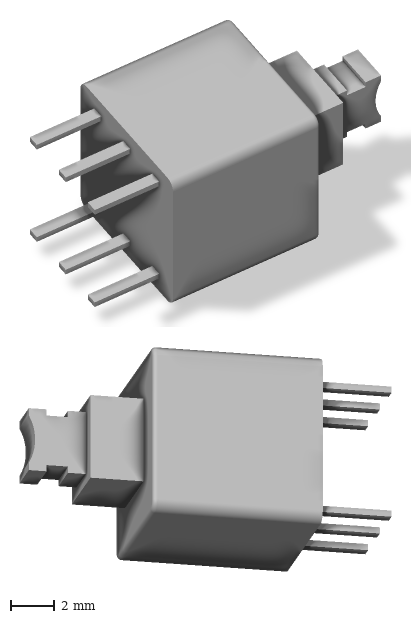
import cadquery as cq

total_length = 16.7

body_size = 8.0
corner_radius = 0.5
end_edge_radius = 0.2

pin_length = 3.5
pin_width = 0.6
pin_thickness = 0.3
pin_pitch = 2.5
pin_row_spacing = 6.01

collar_size = 4.0
collar_length = 2.5
plunger_width = 2.0
plunger_height = 3.0
groove_width = 1.0
groove_depth = 0.3
tip_land = 0.35
tip_hollow_depth = 0.3

body_end = body_size
collar_end = body_end + collar_length
tip_end = total_length - pin_length
plunger_length = tip_end - collar_end
groove_center = collar_end + plunger_length / 2


def block(width, height, start, end):
    """Box centred on the Y axis, spanning start to end along Y."""
    return cq.Workplane("XY").box(width, end - start, height).translate((0, (start + end) / 2, 0))


def make_body():
    body = block(body_size, body_size, 0, body_end)
    return body.edges("|Y").fillet(corner_radius).faces(">Y").edges().fillet(end_edge_radius)


def make_plunger():
    plunger = block(plunger_width, plunger_height, collar_end, tip_end)

    for side in (-1, 1):
        groove = cq.Workplane("XY").box(plunger_width, groove_width, groove_depth)
        groove_height = side * (plunger_height - groove_depth) / 2
        plunger = plunger.cut(groove.translate((0, groove_center, groove_height)))

    hollow_half_height = plunger_height / 2 - tip_land
    hollow = (
        cq.Workplane("YZ")
        .moveTo(tip_end, -hollow_half_height)
        .threePointArc((tip_end - tip_hollow_depth, 0), (tip_end, hollow_half_height))
        .close()
        .extrude(plunger_width / 2, both=True)
    )
    return plunger.cut(hollow)


def make_pins():
    positions = cq.Workplane("XZ").rarray(pin_pitch, pin_row_spacing, 3, 2)
    return positions.rect(pin_width, pin_thickness).extrude(pin_length)


collar = block(collar_size, collar_size, body_end, collar_end)
result = make_body().union(collar).union(make_plunger()).union(make_pins())